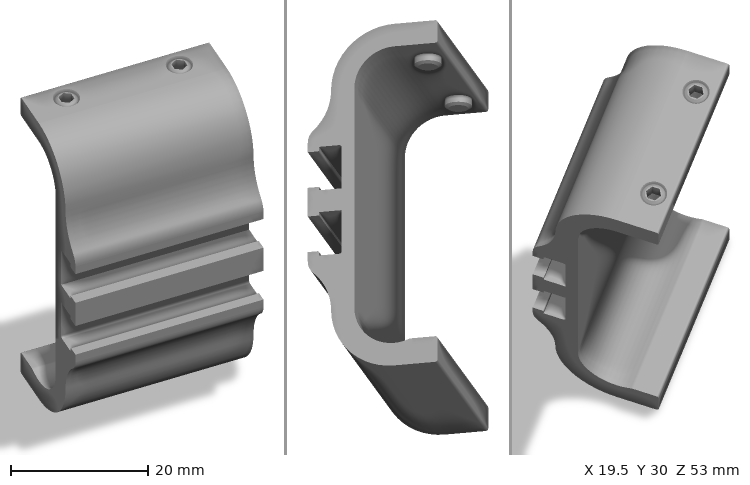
import cadquery as cq
import math

height = 53.0
length = 30.0
depth = 19.5
half_height = height / 2

wall = 3.5
back_x = 16.0
bend_outer = 9.5
bend_inner = bend_outer - wall
bend_x = back_x - bend_outer
bend_z = half_height - bend_outer
lower_lip = 4.0
lip_round = 0.35
rise_round = 1.0

flare_radius = 8.0
shoulder_radius = 2.5

slot_floor_x = 14.4
slot_inner_z = 1.7
slot_outer_z = 8.45
slot_round = 0.35
mouth_inner_z = 2.2
mouth_outer_z = 7.75
mouth_x = 17.8
mouth_round = 0.2

screw_diameter = 4.0
screw_x = 2.95
screw_edge_distance = 6.0
screw_protrusion = 1.4
screw_chamfer_width = 0.55
screw_chamfer_height = 0.3
groove_bottom_diameter = 3.5
groove_inner_diameter = 2.55
groove_depth = 0.3
socket_across_flats = 2.0
socket_depth = 2.0
socket_tip_depth = 0.6


def arc_point(center_x, center_z, radius, degrees):
    angle = math.radians(degrees)
    return (center_x + radius * math.cos(angle), center_z + radius * math.sin(angle))


def make_wall():
    radius_sum = flare_radius + shoulder_radius
    sweep = math.degrees(math.acos(1 - (depth - back_x) / radius_sum))
    flare_x = back_x + flare_radius
    shoulder_x = depth - shoulder_radius
    shoulder_z = bend_z - radius_sum * math.sin(math.radians(sweep))

    flare_mid = arc_point(flare_x, bend_z, flare_radius, 180 + sweep / 2)
    flare_end = arc_point(flare_x, bend_z, flare_radius, 180 + sweep)
    shoulder_mid = arc_point(shoulder_x, shoulder_z, shoulder_radius, sweep / 2)
    bend_mid = arc_point(bend_x, bend_z, bend_outer, 45)
    inner_mid = arc_point(bend_x, bend_z, bend_inner, 45)

    def mirrored(point):
        return (point[0], -point[1])

    lip_z = -half_height + lower_lip
    rise_x = bend_x - math.sqrt(bend_inner**2 - (lip_z + bend_z) ** 2)

    profile = (
        cq.Workplane("XZ")
        .moveTo(0, half_height)
        .lineTo(bend_x, half_height)
        .threePointArc(bend_mid, (back_x, bend_z))
        .threePointArc(flare_mid, flare_end)
        .threePointArc(shoulder_mid, (depth, shoulder_z))
        .lineTo(depth, -shoulder_z)
        .threePointArc(mirrored(shoulder_mid), mirrored(flare_end))
        .threePointArc(mirrored(flare_mid), (back_x, -bend_z))
        .threePointArc(mirrored(bend_mid), (bend_x, -half_height))
        .lineTo(0, -half_height)
        .lineTo(0, lip_z)
        .lineTo(rise_x, lip_z)
        .threePointArc(mirrored(inner_mid), (back_x - wall, -bend_z))
        .lineTo(back_x - wall, bend_z)
        .threePointArc(inner_mid, (bend_x, half_height - wall))
        .lineTo(0, half_height - wall)
        .close()
    )
    body = profile.extrude(length / 2, both=True)
    rise_edge = cq.NearestToPointSelector((rise_x, 0, lip_z))
    body = body.edges(rise_edge).fillet(rise_round)
    return body.faces("<X").edges("|Y").fillet(lip_round)


def make_slot(side):
    """Undercut slot above (side = 1) or below (side = -1) the centre rib."""
    slot = (
        cq.Workplane("XZ")
        .moveTo(slot_floor_x, side * slot_inner_z)
        .lineTo(mouth_x, side * slot_inner_z)
        .lineTo(mouth_x, side * mouth_inner_z)
        .lineTo(depth, side * mouth_inner_z)
        .lineTo(depth, side * mouth_outer_z)
        .lineTo(mouth_x, side * mouth_outer_z)
        .lineTo(mouth_x, side * slot_outer_z)
        .lineTo(slot_floor_x, side * slot_outer_z)
        .close()
        .extrude(length / 2, both=True)
    )
    outer_floor_corner = (slot_floor_x, 0, side * slot_outer_z)
    outer_mouth_corner = (mouth_x, 0, side * mouth_outer_z)
    slot = slot.edges(cq.NearestToPointSelector(outer_floor_corner)).fillet(slot_round)
    return slot.edges(cq.NearestToPointSelector(outer_mouth_corner)).fillet(mouth_round)


def make_screw_tip():
    """Chamfered end of a set screw below the upper lip, on the Z axis."""
    lip_bottom_z = half_height - wall
    return (
        cq.Workplane("XY", origin=(0, 0, lip_bottom_z - screw_protrusion))
        .circle(screw_diameter / 2)
        .extrude(screw_protrusion)
        .faces("<Z")
        .chamfer(screw_chamfer_height, screw_chamfer_width)
    )


def make_screw_groove():
    """V-shaped ring between the countersunk hole and the chamfered screw top."""
    return (
        cq.Workplane("XZ")
        .moveTo(groove_inner_diameter / 2, half_height)
        .lineTo(groove_bottom_diameter / 2, half_height - groove_depth)
        .lineTo(screw_diameter / 2, half_height)
        .close()
        .revolve(360, (0, 0), (0, 1))
    )


def make_socket():
    """Hexagonal socket with a conical bottom, on the Z axis."""
    floor_z = half_height - socket_depth
    hexagon_diameter = socket_across_flats / math.cos(math.pi / 6)
    hexagon = (
        cq.Workplane("XY", origin=(0, 0, floor_z))
        .polygon(6, hexagon_diameter)
        .extrude(socket_depth)
    )
    cone = (
        cq.Workplane("XZ")
        .moveTo(0, floor_z)
        .lineTo(socket_across_flats / 2, floor_z)
        .lineTo(0, floor_z - socket_tip_depth)
        .close()
        .revolve(360, (0, 0), (0, 1))
    )
    return hexagon.union(cone)


bracket = make_wall()
for side in (1, -1):
    bracket = bracket.cut(make_slot(side))

screw_y = length / 2 - screw_edge_distance
for y in (screw_y, -screw_y):
    place = (screw_x, y, 0)
    bracket = bracket.union(make_screw_tip().translate(place))
    bracket = bracket.cut(make_screw_groove().translate(place))
    bracket = bracket.cut(make_socket().translate(place))

result = bracket